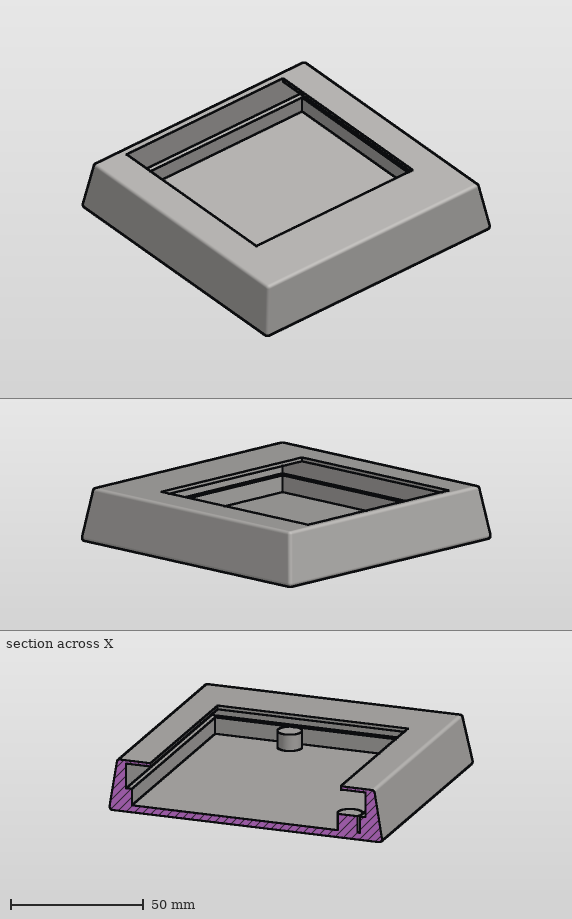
import cadquery as cq
import math

LENGTH_X = 109.74
LENGTH_Y = 109.94
HEIGHT = 20.64
SIDE_DRAFT = 9.3
EDGE_RADIUS = 1.4

LIP_THICKNESS = 1.5
WINDOW_SIDE = 76.6

UPPER_CAVITY_SIDE = 96.2
LEDGE_WIDTH = 2.3
LEDGE_HEIGHT = 9.5
FLOOR_THICKNESS = 3.0
LOWER_CAVITY_SIDE = UPPER_CAVITY_SIDE - 2 * LEDGE_WIDTH
CAVITY_TOP = HEIGHT - LIP_THICKNESS
WINDOW_CENTRE_X = (WINDOW_SIDE - UPPER_CAVITY_SIDE) / 2

POST_DIAMETER = 9.4
POST_INSET = LOWER_CAVITY_SIDE / 2 - POST_DIAMETER / 2
SIDE_POST_Y = 14.0
POST_CENTRES = [(-POST_INSET, -POST_INSET), (POST_INSET, SIDE_POST_Y)]


def square_block(side, bottom, top, centre_x=0):
    """Upright square block between two heights."""
    return cq.Workplane("XY", origin=(centre_x, 0, bottom)).rect(side, side).extrude(top - bottom)


def outer_body():
    """Tapered box whose rounded bottom edges reach the full outer length and width."""
    draft = math.radians(SIDE_DRAFT)
    rounding_loss = EDGE_RADIUS * (math.tan(draft) + 1 / math.cos(draft) - 1)
    return (
        cq.Workplane("XY")
        .rect(LENGTH_X + 2 * rounding_loss, LENGTH_Y + 2 * rounding_loss)
        .extrude(HEIGHT, taper=SIDE_DRAFT)
        .edges()
        .fillet(EDGE_RADIUS)
    )


def cavity():
    """Window, upper cavity and narrower lower cavity as one cutting body."""
    window = square_block(WINDOW_SIDE, CAVITY_TOP, HEIGHT, WINDOW_CENTRE_X)
    upper = square_block(UPPER_CAVITY_SIDE, LEDGE_HEIGHT, CAVITY_TOP)
    lower = square_block(LOWER_CAVITY_SIDE, FLOOR_THICKNESS, LEDGE_HEIGHT)
    return lower.union(upper).union(window)


def posts():
    """Round posts, started at the underside of the floor so that they fuse with it."""
    return cq.Workplane("XY").pushPoints(POST_CENTRES).circle(POST_DIAMETER / 2).extrude(LEDGE_HEIGHT)


result = outer_body().cut(cavity()).union(posts())